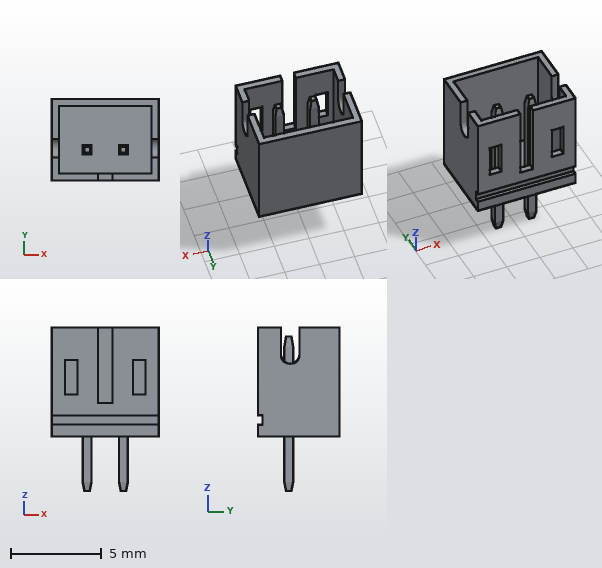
import cadquery as cq

HOUSING_LENGTH = 5.9
HOUSING_WIDTH = 4.5
HOUSING_HEIGHT = 6.0
WALL = 0.4
FLOOR_THICKNESS = 0.4
FRONT_Y = -1.7
BACK_Y = FRONT_Y + HOUSING_WIDTH

PIN_COUNT = 2
PIN_PITCH = 2.0
PIN_SIZE = 0.5
PIN_TIP_SIZE = 0.3
PIN_LOWER_TAPER_LENGTH = 0.5
PIN_UPPER_TAPER_LENGTH = 0.57
PIN_BOTTOM_Z = -3.0
PIN_TOP_CLEARANCE = 0.5
PIN_TOP_Z = HOUSING_HEIGHT - PIN_TOP_CLEARANCE

KEY_SLOT_WIDTH = 0.78
KEY_SLOT_BOTTOM_Z = 1.85

WINDOW_WIDTH = 0.7
WINDOW_SPACING = 3.75
WINDOW_BOTTOM_Z = 2.32
WINDOW_TOP_Z = 4.2

NOTCH_WIDTH = 1.0
NOTCH_DEPTH = 2.0
NOTCH_SETBACK = 1.78
NOTCH_CENTER_Y = FRONT_Y + NOTCH_SETBACK

GROOVE_BOTTOM_Z = 0.65
GROOVE_TOP_Z = 1.17
GROOVE_DEPTH = 0.25


def block(x_range, y_range, z_range):
    """Axis-aligned box spanning the given (low, high) ranges."""
    size = [high - low for low, high in (x_range, y_range, z_range)]
    corner = (x_range[0], y_range[0], z_range[0])
    return cq.Workplane("XY").box(*size, centered=False).translate(corner)


def span(center, width):
    """The (low, high) range of a width centred on a position."""
    return (center - width / 2, center + width / 2)


def make_shell():
    outside = block(
        span(0, HOUSING_LENGTH),
        (FRONT_Y, BACK_Y),
        (0, HOUSING_HEIGHT),
    )
    cavity = block(
        span(0, HOUSING_LENGTH - 2 * WALL),
        (FRONT_Y + WALL, BACK_Y - WALL),
        (FLOOR_THICKNESS, HOUSING_HEIGHT),
    )
    return outside.cut(cavity)


def make_key_slot():
    return block(
        span(0, KEY_SLOT_WIDTH),
        (FRONT_Y, FRONT_Y + WALL),
        (KEY_SLOT_BOTTOM_Z, HOUSING_HEIGHT),
    )


def make_window(center_x):
    return block(
        span(center_x, WINDOW_WIDTH),
        (FRONT_Y, FRONT_Y + WALL),
        (WINDOW_BOTTOM_Z, WINDOW_TOP_Z),
    )


def make_end_notches():
    """One U-shaped cutter running through both end walls."""
    radius = NOTCH_WIDTH / 2
    left_y, right_y = span(NOTCH_CENTER_Y, NOTCH_WIDTH)
    bottom_z = HOUSING_HEIGHT - NOTCH_DEPTH
    return (
        cq.Workplane("YZ")
        .moveTo(left_y, HOUSING_HEIGHT)
        .lineTo(left_y, bottom_z + radius)
        .threePointArc((NOTCH_CENTER_Y, bottom_z), (right_y, bottom_z + radius))
        .lineTo(right_y, HOUSING_HEIGHT)
        .close()
        .extrude(HOUSING_LENGTH / 2, both=True)
    )


def make_groove():
    return block(
        span(0, HOUSING_LENGTH),
        (FRONT_Y, FRONT_Y + GROOVE_DEPTH),
        (GROOVE_BOTTOM_Z, GROOVE_TOP_Z),
    )


def make_pin_taper(base_z, tip_z):
    return (
        cq.Workplane("XY", origin=(0, 0, base_z))
        .rect(PIN_SIZE, PIN_SIZE)
        .workplane(offset=tip_z - base_z)
        .rect(PIN_TIP_SIZE, PIN_TIP_SIZE)
        .loft()
    )


def make_pin(center_x):
    shank_bottom_z = PIN_BOTTOM_Z + PIN_LOWER_TAPER_LENGTH
    shank_top_z = PIN_TOP_Z - PIN_UPPER_TAPER_LENGTH
    shank = block(
        span(0, PIN_SIZE),
        span(0, PIN_SIZE),
        (shank_bottom_z, shank_top_z),
    )
    upper_taper = make_pin_taper(shank_top_z, PIN_TOP_Z)
    lower_taper = make_pin_taper(shank_bottom_z, PIN_BOTTOM_Z)
    return shank.union(upper_taper).union(lower_taper).translate((center_x, 0, 0))


result = make_shell().cut(make_key_slot()).cut(make_end_notches()).cut(make_groove())

for window_x in span(0, WINDOW_SPACING):
    result = result.cut(make_window(window_x))

for pin_index in range(PIN_COUNT):
    pin_x = (pin_index - (PIN_COUNT - 1) / 2) * PIN_PITCH
    result = result.union(make_pin(pin_x))